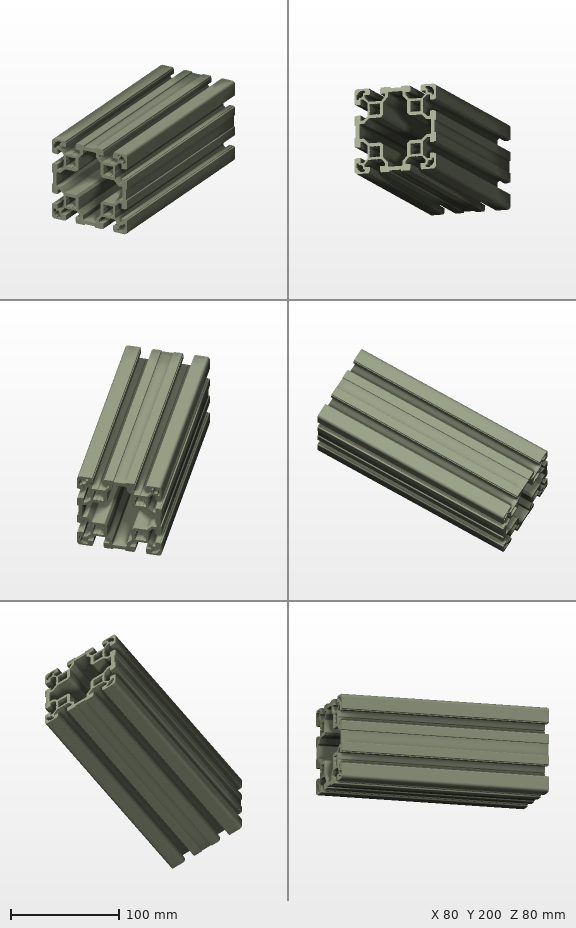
import cadquery as cq
SIDE = 80.0
LENGTH = 200.0
CORNER_RADIUS = 3.0
HALF = SIDE / 2

SLOT_OFFSET = SIDE / 4
SLOT_MOUTH_HALF = 5.0
MOUTH_STEP = 0.5
MOUTH_STEP_DEPTH = 1.5
LIP_DEPTH = 6.0
CHAMBER_HALF = 10.0
CHAMBER_WALL_DEPTH = 8.5
FLOOR_HALF = 6.5
FLOOR_DEPTH = 12.5
GROOVE_HALF = 0.8
GROOVE_DEPTH = 0.5

RECESS_HALF = 5.5
RECESS_DEPTH = 1.2

FACE_EDGE_RADIUS = 0.5

VOID_ARM_HALF = 7.0
VOID_END = HALF - 4.8
VOID_ARM_STRAIGHT_END = HALF - 9.2
VOID_WAIST_HALF = 11.8
VOID_WAIST_START = HALF - 14.0
VOID_BEND_RADIUS = 1.2
VOID_END_RADIUS = 1.0
WAIST_CHAMFER = 2.5
WAIST_CHAMFER_BLEND = 1.2

CHANNEL_SIDE = 10.2
CHANNEL_LAND = 4.2

BORE_INSET = 5.5
BORE_RADIUS = 2.8
ARM_WALL = 1.8
ARM_WIDTH = 2.5
ARM_REACH = 10.2

EDGE_SEARCH_REACH = 0.2

QUARTER_TURNS = (0, 90, 180, 270)


def section():
    """Workplane at the front end of the profile, with local y along +Z."""
    return cq.Workplane("XZ", origin=(0, -LENGTH / 2, 0))


def prism(sketch):
    """Extrude a closed section outline over the full length."""
    return sketch.extrude(-LENGTH)


def around(body, angle):
    """Turn a body about the profile's long axis."""
    return body.rotate((0, 0, 0), (0, 1, 0), angle)


def mirrored_outline(right_side):
    """Close an outline from its right half by reflecting it in x = 0."""
    left_side = [(-x, z) for x, z in reversed(right_side) if x > 0]
    return right_side + left_side


def edges_at(x, z):
    """Selector for the lengthwise edges at (x, z) and at its mirror images."""
    signs = (-1, 1)
    places = {(sx * a, sz * b) for a, b in ((x, z), (z, x)) for sx in signs for sz in signs}
    selector = None
    for px, pz in sorted(places):
        low = (px - EDGE_SEARCH_REACH, -LENGTH, pz - EDGE_SEARCH_REACH)
        high = (px + EDGE_SEARCH_REACH, LENGTH, pz + EDGE_SEARCH_REACH)
        box = cq.selectors.BoxSelector(low, high)
        selector = box if selector is None else selector + box
    return selector


def slot(offset):
    """T-slot opening through the top face, with a V-groove along its floor."""
    right_side = [
        (0, HALF - FLOOR_DEPTH - GROOVE_DEPTH),
        (GROOVE_HALF, HALF - FLOOR_DEPTH),
        (FLOOR_HALF, HALF - FLOOR_DEPTH),
        (CHAMBER_HALF, HALF - CHAMBER_WALL_DEPTH),
        (CHAMBER_HALF, HALF - LIP_DEPTH),
        (SLOT_MOUTH_HALF, HALF - LIP_DEPTH),
        (SLOT_MOUTH_HALF, HALF - MOUTH_STEP_DEPTH),
        (SLOT_MOUTH_HALF + MOUTH_STEP, HALF - MOUTH_STEP_DEPTH),
        (SLOT_MOUTH_HALF + MOUTH_STEP, HALF),
    ]
    outline = mirrored_outline(right_side)
    return prism(section().polyline(outline).close()).translate((offset, 0, 0))


def face_recess():
    """Shallow recess in the middle of the top face, open above it."""
    return prism(section().center(0, HALF).rect(2 * RECESS_HALF, 2 * RECESS_DEPTH))


def central_void():
    """Cross-shaped void with rounded bends and chamfered waist corners."""
    right_side = [
        (VOID_WAIST_HALF, 0),
        (VOID_WAIST_HALF, VOID_WAIST_START),
        (VOID_ARM_HALF, VOID_ARM_STRAIGHT_END),
        (VOID_ARM_HALF, VOID_END),
    ]
    arm = prism(section().polyline(mirrored_outline(right_side)).close())
    void = arm
    for angle in QUARTER_TURNS[1:]:
        void = void.union(around(arm, angle))
    void = void.edges("|Y").edges(edges_at(VOID_WAIST_HALF, VOID_WAIST_HALF)).chamfer(WAIST_CHAMFER)
    rounded_edges = (
        (VOID_WAIST_HALF + WAIST_CHAMFER, VOID_WAIST_HALF, WAIST_CHAMFER_BLEND),
        (VOID_WAIST_HALF, VOID_WAIST_START, VOID_BEND_RADIUS),
        (VOID_ARM_HALF, VOID_ARM_STRAIGHT_END, VOID_BEND_RADIUS),
        (VOID_ARM_HALF, VOID_END, VOID_END_RADIUS),
    )
    for x, z, radius in rounded_edges:
        void = void.edges("|Y").edges(edges_at(x, z)).fillet(radius)
    return void


def screw_channel():
    """Round core touching the walls, with curved lands between square corner pockets."""
    pocket_side = (CHANNEL_SIDE - CHANNEL_LAND) / 2
    pocket_pitch = CHANNEL_LAND + pocket_side
    core = prism(section().circle(CHANNEL_SIDE / 2))
    pockets = prism(section().rarray(pocket_pitch, pocket_pitch, 2, 2).rect(pocket_side, pocket_side))
    return core.union(pockets).translate((SLOT_OFFSET, 0, SLOT_OFFSET))


def hollow_arm():
    """Arm of the corner hollow that runs beside the top face."""
    outer = HALF - ARM_WALL
    inner = outer - ARM_WIDTH
    end_radius = ARM_WIDTH / 2
    root = HALF - BORE_INSET
    tip = HALF - ARM_REACH
    return prism(
        section()
        .moveTo(root, outer)
        .lineTo(tip + end_radius, outer)
        .threePointArc((tip, outer - end_radius), (tip + end_radius, inner))
        .lineTo(root, inner)
        .close()
    )


def corner_hollow():
    """Bore in the (+X, +Z) corner joined with its two arms."""
    centre = HALF - BORE_INSET
    bore = prism(section().center(centre, centre).circle(BORE_RADIUS))
    top_arm = hollow_arm()
    side_arm = around(top_arm.mirror("YZ"), 90)
    return bore.union(top_arm).union(side_arm)


profile = prism(section().rect(SIDE, SIDE)).edges("|Y").fillet(CORNER_RADIUS)
profile = profile.cut(central_void())
cutters = [
    slot(-SLOT_OFFSET),
    slot(SLOT_OFFSET),
    face_recess(),
    screw_channel(),
    corner_hollow(),
]
for angle in QUARTER_TURNS:
    for cutter in cutters:
        profile = profile.cut(around(cutter, angle))

mouth_half = SLOT_MOUTH_HALF + MOUTH_STEP
for edge_place in (RECESS_HALF, SLOT_OFFSET - mouth_half, SLOT_OFFSET + mouth_half):
    profile = profile.edges("|Y").edges(edges_at(edge_place, HALF)).fillet(FACE_EDGE_RADIUS)

result = profile